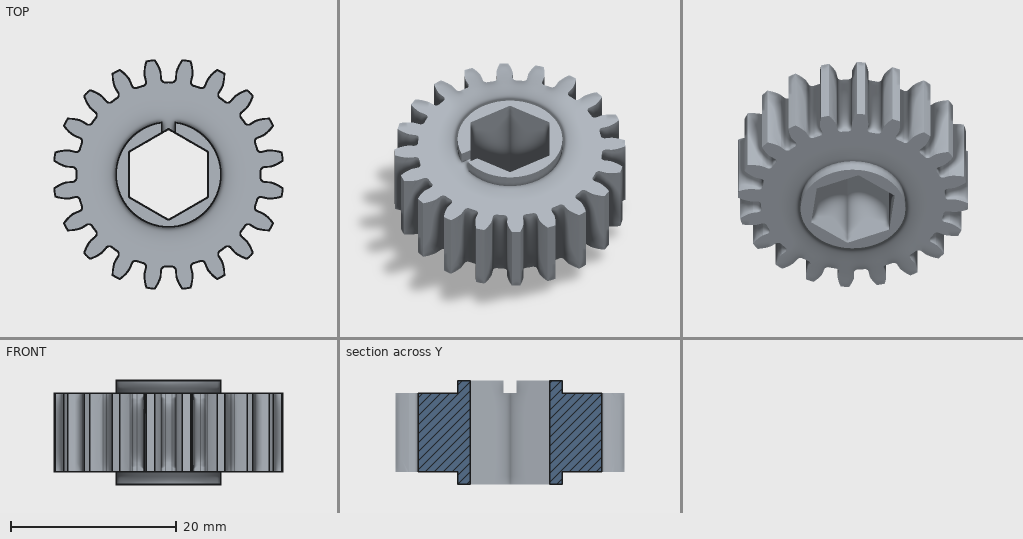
import cadquery as cq
import math

INCH = 25.4

tooth_count = 20
module = INCH / 20
pressure_angle = math.radians(14.5)
dedendum_factor = 1.2
tooth_half_angle = math.radians(4.33)
root_fillet = 0.46

pitch_radius = module * tooth_count / 2
tip_radius = pitch_radius + module
root_radius = pitch_radius - dedendum_factor * module
base_radius = pitch_radius * math.cos(pressure_angle)
tooth_step = 360 / tooth_count

overall_length = 12.65
face_width = 0.375 * INCH
hub_diameter = 0.5 * INCH
hub_height = (overall_length - face_width) / 2
hex_across_flats = 0.375 * INCH
notch_width = INCH / 16

cut_margin = 1.0
flank_points = 7


def involute(angle):
    return math.tan(angle) - angle


def gap_half_angle(radius):
    """Half of the angle between neighbouring teeth, at a radius on the involute."""
    local_pressure_angle = math.acos(min(1.0, base_radius / radius))
    spread = involute(local_pressure_angle) - involute(pressure_angle)
    return math.pi / tooth_count - tooth_half_angle + spread


def polar_point(radius, angle):
    """Point at an angle measured clockwise from +Y."""
    return (radius * math.sin(angle), radius * math.cos(angle))


def make_tooth_gap():
    """Space between two teeth, centred on +Y: radial below the base circle, involute above."""
    outer_radius = tip_radius + cut_margin
    radius_step = (outer_radius - base_radius) / (flank_points - 1)
    radii = [base_radius + i * radius_step for i in range(flank_points)]
    right_flank = [polar_point(r, gap_half_angle(r)) for r in radii]
    left_flank = [(-x, y) for x, y in reversed(right_flank)]
    root_angle = gap_half_angle(base_radius)
    outer_tangent_angle = gap_half_angle(outer_radius) + math.acos(base_radius / outer_radius)
    base_x, base_y = polar_point(1, root_angle)
    outer_x, outer_y = polar_point(1, outer_tangent_angle)
    right_tangents = [(base_x, base_y), (outer_x, outer_y)]
    left_tangents = [(outer_x, -outer_y), (base_x, -base_y)]
    gap = (
        cq.Workplane("XY")
        .workplane(offset=-face_width / 2)
        .moveTo(*polar_point(root_radius, -root_angle))
        .threePointArc((0, root_radius), polar_point(root_radius, root_angle))
        .lineTo(*right_flank[0])
        .spline(right_flank[1:], tangents=right_tangents, includeCurrent=True)
        .lineTo(*left_flank[0])
        .spline(left_flank[1:], tangents=left_tangents, includeCurrent=True)
        .close()
        .extrude(face_width)
    )
    root_corners = cq.selectors.BoxSelector(
        (-pitch_radius, 0, -face_width),
        (pitch_radius, (root_radius + base_radius) / 2, face_width),
    )
    return gap.edges("|Z").edges(root_corners).fillet(root_fillet)


def make_toothed_rim():
    rim = cq.Workplane("XY").circle(tip_radius).extrude(face_width / 2, both=True)
    gap = make_tooth_gap()
    for i in range(tooth_count):
        rim = rim.cut(gap.rotate((0, 0, 0), (0, 0, 1), i * tooth_step))
    return rim


def make_hub():
    """Cylinder standing out equally from both gear faces."""
    return cq.Workplane("XY").circle(hub_diameter / 2).extrude(overall_length / 2, both=True)


def make_hex_bore():
    """Through hexagon with two corners on the Y axis."""
    across_corners = hex_across_flats / math.cos(math.pi / 6)
    return (
        cq.Workplane("XY")
        .polygon(6, across_corners)
        .extrude(overall_length / 2 + cut_margin, both=True)
        .rotate((0, 0, 0), (0, 0, 1), 90)
    )


def make_hub_notch():
    """Slot through the +Y wall of the upper hub, down to the gear face."""
    notch_length = hub_diameter / 2 + cut_margin
    return (
        cq.Workplane("XY")
        .workplane(offset=face_width / 2)
        .rect(notch_width, notch_length)
        .extrude(hub_height + cut_margin)
        .translate((0, notch_length / 2, 0))
    )


result = make_toothed_rim().union(make_hub()).cut(make_hex_bore()).cut(make_hub_notch())